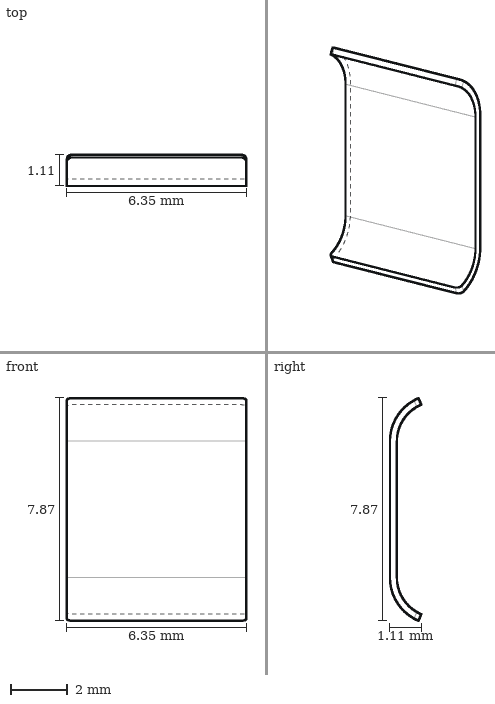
import cadquery as cq
import math

width = 6.35
height = 7.874
thickness = 0.254
flat_height = 4.826
outer_radius = 1.651
corner_radius = 0.18

inner_radius = outer_radius - thickness
half_flat = flat_height / 2
bend_angle = math.asin((height / 2 - half_flat) / outer_radius)


def lip_point(radius, angle, side):
    """(Y, Z) point on a lip arc; side is +1 for the upper lip, -1 for the lower."""
    y = outer_radius - radius * math.cos(angle)
    z = side * (half_flat + radius * math.sin(angle))
    return y, z


def curled_sheet():
    """Flat panel with both ends curled toward +Y, extruded along X."""
    upper, lower = 1, -1
    mid_angle = bend_angle / 2
    return (
        cq.Workplane("YZ")
        .moveTo(*lip_point(outer_radius, 0, lower))
        .lineTo(*lip_point(outer_radius, 0, upper))
        .threePointArc(
            lip_point(outer_radius, mid_angle, upper),
            lip_point(outer_radius, bend_angle, upper),
        )
        .lineTo(*lip_point(inner_radius, bend_angle, upper))
        .threePointArc(
            lip_point(inner_radius, mid_angle, upper),
            lip_point(inner_radius, 0, upper),
        )
        .lineTo(*lip_point(inner_radius, 0, lower))
        .threePointArc(
            lip_point(inner_radius, mid_angle, lower),
            lip_point(inner_radius, bend_angle, lower),
        )
        .lineTo(*lip_point(outer_radius, bend_angle, lower))
        .threePointArc(
            lip_point(outer_radius, mid_angle, lower),
            lip_point(outer_radius, 0, lower),
        )
        .close()
        .extrude(width / 2, both=True)
    )


def round_free_corners(sheet):
    """Round the short through-thickness edges at the ends of both lips."""
    mid_radius = (outer_radius + inner_radius) / 2
    for side in (1, -1):
        y, z = lip_point(mid_radius, bend_angle, side)
        for x in (-width / 2, width / 2):
            corner = cq.selectors.NearestToPointSelector((x, y, z))
            sheet = sheet.edges(corner).fillet(corner_radius)
    return sheet


result = round_free_corners(curled_sheet())